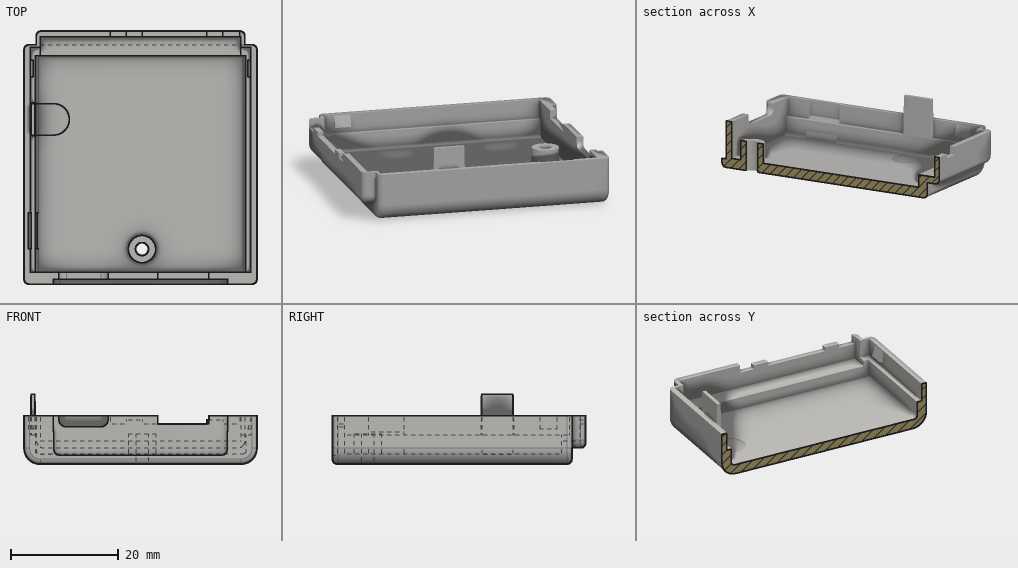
import cadquery as cq

body_width = 43.42
body_length = 44.65
rim_height = 9.05
side_bottom_radius = 3.0
edge_radius = 1.0

step_half_width = 19.45
step_back = 47.2
step_bottom = 3.0
step_side_radius = 1.5

cavity_half_width = 20.6
cavity_front = 2.2
cavity_back = 44.15
ledge_height = 5.48
shelf_half_width = 18.7
shelf_back = 46.1
shelf_height = 4.4
pocket_half_width = 19.65
pocket_back = 42.6
floor_height = 2.0
pocket_fillet = 0.6

panel_depth = 0.95
panel_bottom = 1.7
panel_top_half_width = 16.3
panel_bottom_half_width = 16.1
panel_corner_radius = 1.0

square_notch_left = 3.25
square_notch_right = 12.75
square_notch_depth = 1.55
round_notch_left = -15.2
round_notch_right = -6.05
round_notch_depth = 2.1
round_notch_radius = 1.3

back_cut_depth = 1.55
back_tooth_drop = 0.75
back_cut_left = -5.65
back_cut_right = 18.5
tooth_width = 2.95
tooth_left_edges = (-2.7, 12.35)

boss_x = 0.3
boss_y = 6.55
boss_radius = 2.55
boss_top = 5.7
boss_hole_radius = 1.2

tab_left = -20.4
tab_right = -19.7
tab_front = 27.8
tab_back = 33.65
tab_top = 13.07
tab_draft = 1.2

thumb_depth = 0.1
thumb_end = -13.25

catch_front = 38.65
catch_back = 41.75
catch_reach = 0.6
catch_top = 8.85
catch_bottom = 6.6

relief_front = 6.65
relief_back = 13.3
relief_left = -20.95
ledge_foot_width = 0.6
ledge_foot_height = 0.6
floor_foot_width = 0.4
floor_foot_height = 1.3


def box(x0, x1, y0, y1, z0, z1):
    """Axis-aligned block given by its limits."""
    return cq.Workplane("XY").box(x1 - x0, y1 - y0, z1 - z0, centered=False).translate((x0, y0, z0))


def prism_along_y(points, y0, y1):
    """Closed XZ outline extruded from y0 to y1."""
    return cq.Workplane("XZ", origin=(0, y0, 0)).polyline(points).close().extrude(y0 - y1)


def make_shell():
    half = body_width / 2
    body = box(-half, half, 0, body_length, 0, rim_height)
    body = body.edges("|Y and <Z").fillet(side_bottom_radius)
    body = body.faces("<Y or >Y").edges("not >Z").fillet(edge_radius)

    step = box(-step_half_width, step_half_width, pocket_back, step_back, step_bottom, rim_height)
    step = step.edges("|Y and <Z").fillet(step_side_radius)
    step = step.faces(">Y").edges("not >Z").fillet(edge_radius)
    return body.union(step)


def make_pocket():
    pocket = box(-pocket_half_width, pocket_half_width, cavity_front, pocket_back,
                 floor_height, rim_height)
    return pocket.edges("|Y and <Z").fillet(pocket_fillet)


def make_interior():
    cavity = box(-cavity_half_width, cavity_half_width, cavity_front, cavity_back,
                 ledge_height, rim_height)
    shelf = box(-shelf_half_width, shelf_half_width, cavity_front, shelf_back,
                shelf_height, rim_height)
    return cavity.union(shelf).union(make_pocket())


def make_panel_recess():
    points = [
        (-panel_top_half_width, rim_height),
        (-panel_bottom_half_width, panel_bottom),
        (panel_bottom_half_width, panel_bottom),
        (panel_top_half_width, rim_height),
    ]
    return prism_along_y(points, 0, panel_depth).edges("|Y and <Z").fillet(panel_corner_radius)


def make_front_notches():
    square = box(square_notch_left, square_notch_right, 0, cavity_front,
                 rim_height - square_notch_depth, rim_height)
    rounded = box(round_notch_left, round_notch_right, 0, cavity_front,
                  rim_height - round_notch_depth, rim_height)
    rounded = rounded.edges("|Y and <Z").fillet(round_notch_radius)
    return square.union(rounded)


def make_back_cuts():
    cuts = box(back_cut_left, back_cut_right, shelf_back, step_back,
               rim_height - back_cut_depth, rim_height)
    for left in tooth_left_edges:
        cuts = cuts.cut(box(left, left + tooth_width, shelf_back, step_back,
                            rim_height - back_cut_depth, rim_height - back_tooth_drop))
    return cuts


def make_relief():
    wall_cut = box(relief_left, -pocket_half_width, relief_front, relief_back,
                   ledge_height, rim_height)
    fillet_cut = box(-pocket_half_width, pocket_fillet - pocket_half_width,
                     relief_front, relief_back, floor_height, ledge_height)
    return wall_cut.union(fillet_cut)


def make_relief_foot(wall_x, base_height, width, height):
    """Sloped strip filling the corner between a wall and the surface below it."""
    points = [
        (wall_x, base_height),
        (wall_x, base_height + height),
        (wall_x + width, base_height),
    ]
    return prism_along_y(points, relief_front, relief_back)


def make_catch():
    points = [
        (cavity_half_width, catch_top),
        (cavity_half_width - catch_reach, catch_bottom),
        (cavity_half_width, catch_bottom),
    ]
    return prism_along_y(points, catch_front, catch_back)


def make_tab():
    middle = ((tab_left + tab_right) / 2, (tab_front + tab_back) / 2, tab_top)
    return (cq.Workplane("XY", origin=middle)
            .rect(tab_right - tab_left, tab_back - tab_front)
            .extrude(ledge_height - tab_top, taper=-tab_draft))


def make_thumb_recess():
    radius = (tab_back - tab_front) / 2
    middle = (tab_front + tab_back) / 2
    bottom = floor_height - thumb_depth
    top = floor_height + pocket_fillet
    straight = box(-pocket_half_width, thumb_end - radius, tab_front, tab_back, bottom, top)
    round_end = (cq.Workplane("XY", origin=(thumb_end - radius, middle, bottom))
                 .circle(radius).extrude(top - bottom))
    return straight.union(round_end).intersect(make_pocket().translate((0, 0, -thumb_depth)))


def cylinder(radius, z0, z1):
    """Cylinder on the axis of the screw boss."""
    return cq.Workplane("XY", origin=(boss_x, boss_y, z0)).circle(radius).extrude(z1 - z0)


result = make_shell().cut(make_interior())
result = result.cut(make_panel_recess()).cut(make_front_notches()).cut(make_back_cuts())

ledge_foot = make_relief_foot(relief_left, ledge_height, ledge_foot_width, ledge_foot_height)
floor_foot = make_relief_foot(-pocket_half_width, floor_height, floor_foot_width, floor_foot_height)
result = result.cut(make_relief()).union(ledge_foot).union(floor_foot)

result = result.cut(make_thumb_recess()).union(make_tab())

right_catch = make_catch()
result = result.union(right_catch).union(right_catch.mirror("YZ"))

result = result.union(cylinder(boss_radius, floor_height, boss_top))
result = result.cut(cylinder(boss_hole_radius, 0, boss_top))